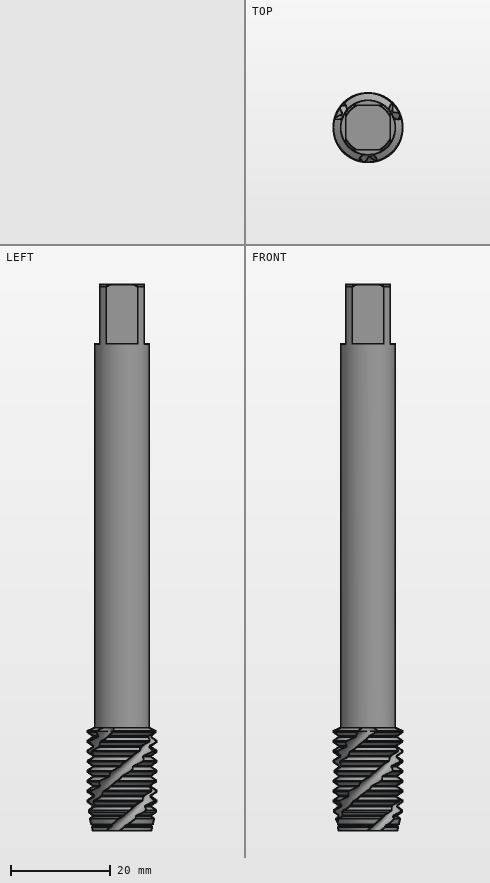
import cadquery as cq

total_length = 110.0
shank_diameter = 11.0

square_width = 9.0
square_length = 12.0
square_chamfer = 0.5

thread_diameter = 14.0
pitch = 2.0
head_length = 20.8
crest_flat = pitch / 8
root_flat = pitch / 8
root_radius = 5.92
crest_count = 10
lead_in_length = 4.5

flute_count = 3
flute_lead = 31.5
flute_twist_height = 20.0
flute_end_angle = 270.0
flute_radius = 1.9
flute_centre_radius = 7.1

crest_radius = thread_diameter / 2
thread_depth = crest_radius - root_radius
groove_mouth = pitch - crest_flat
shank_radius = shank_diameter / 2
last_crest_top = crest_count * pitch + crest_flat / 2


def make_shank():
    """Round shank with the driving square milled on its upper end."""
    shank_length = total_length - head_length
    body = (
        cq.Workplane("XY", origin=(0, 0, head_length))
        .circle(shank_radius)
        .extrude(shank_length)
        .faces(">Z")
        .chamfer(square_chamfer)
    )
    square_zone = (
        cq.Workplane("XY", origin=(0, 0, total_length - square_length))
        .rect(2 * shank_diameter, 2 * shank_diameter)
        .rect(square_width, square_width)
        .extrude(square_length)
    )
    return body.cut(square_zone)


def make_thread_blank():
    """Cylinder with a conical lead-in and a short cone down to the shank at its top."""
    return (
        cq.Workplane("XZ")
        .lineTo(root_radius, 0)
        .lineTo(crest_radius, lead_in_length)
        .lineTo(crest_radius, last_crest_top)
        .lineTo(shank_radius, head_length)
        .lineTo(0, head_length)
        .close()
        .revolve(360, (0, 0, 0), (0, 1, 0))
    )


def make_thread_groove(middle_height):
    """Ring with the tapered, flat-bottomed section of the gap between two crests."""
    half_root = root_flat / 2
    half_mouth = groove_mouth / 2
    outer_radius = crest_radius + thread_depth
    return (
        cq.Workplane("XZ")
        .moveTo(root_radius, middle_height - half_root)
        .lineTo(crest_radius, middle_height - half_mouth)
        .lineTo(outer_radius, middle_height - half_mouth)
        .lineTo(outer_radius, middle_height + half_mouth)
        .lineTo(crest_radius, middle_height + half_mouth)
        .lineTo(root_radius, middle_height + half_root)
        .close()
        .revolve(360, (0, 0, 0), (0, 1, 0))
    )


def flute_section(height, turn):
    """Round flute section at a height, turned about the tap axis from +X."""
    return (
        cq.Workplane("XY", origin=(0, 0, height))
        .transformed(rotate=(0, 0, turn))
        .pushPoints([(flute_centre_radius, 0)])
        .circle(flute_radius)
    )


def make_flute(end_angle):
    """Right-handed spiral flute with a short straight run-out at its upper end."""
    twist = 360 * flute_twist_height / flute_lead
    spiral = flute_section(0, end_angle - twist).twistExtrude(flute_twist_height, twist)
    run_out = flute_section(flute_twist_height, end_angle).extrude(head_length - flute_twist_height)
    return spiral.union(run_out)


def make_head():
    """Cutting head: lead-in blank, ring-shaped thread grooves and spiral flutes."""
    body = make_thread_blank()
    for groove in range(crest_count):
        body = body.cut(make_thread_groove((groove + 0.5) * pitch))
    for index in range(flute_count):
        body = body.cut(make_flute(flute_end_angle + index * 360 / flute_count))
    return body


shank = make_shank()
head = make_head()

result = cq.Compound.makeCompound([shank.val(), *head.vals()])